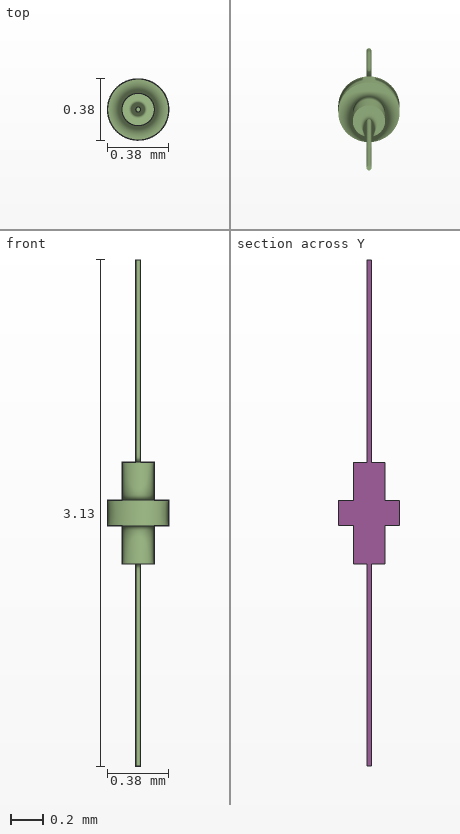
import cadquery as cq

wire_diameter = 0.03
wire_projection = 1.25
body_diameter = 0.20
body_length = 0.63
flange_diameter = 0.38
flange_thickness = 0.16

wire_length = body_length + 2 * wire_projection


def centred_cylinder(diameter, length):
    """Cylinder along Z, centred on the origin."""
    return cq.Workplane("XY").cylinder(length, diameter / 2)


wire = centred_cylinder(wire_diameter, wire_length)

body = centred_cylinder(body_diameter, body_length)

flange = centred_cylinder(flange_diameter, flange_thickness)

result = body.union(flange).union(wire)